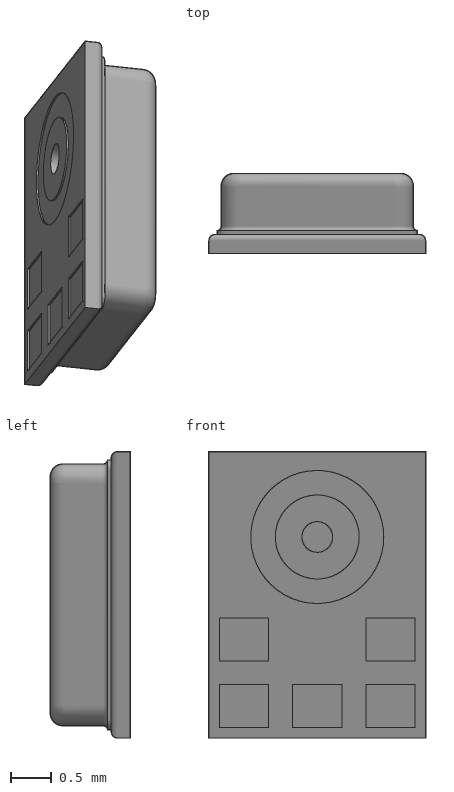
import cadquery as cq

plate_width = 2.65
plate_height = 3.5
plate_thickness = 0.235
plate_edge_radius = 0.08

total_depth = 0.98
flange_inset = 0.1
flange_thickness = 0.045
flange_corner_radius = 0.122
lid_inset = 0.15
lid_corner_radius = 0.235
lid_edge_radius = 0.158
lid_foot_radius = lid_inset - flange_inset
seam_margin = 0.005
foot_edge_clearance = 0.0005

port_z = 0.707
port_diameter = 0.375
port_depth = 0.2
ring_inner_diameter = 1.025
ring_outer_diameter = 1.625

pad_width = 0.6
pad_height = 0.525
pad_pitch_x = 0.895
pad_pitch_z = 0.812
pad_bottom_margin = 0.13
recess_depth = 0.02

bottom_row_z = -plate_height / 2 + pad_bottom_margin + pad_height / 2
top_row_z = bottom_row_z + pad_pitch_z
pad_centers = [
    (-pad_pitch_x, bottom_row_z),
    (0, bottom_row_z),
    (pad_pitch_x, bottom_row_z),
    (-pad_pitch_x, top_row_z),
    (pad_pitch_x, top_row_z),
]


def plane_at(y):
    """XZ workplane at the given Y; positive extrusion runs toward -Y."""
    return cq.Workplane("XZ", origin=(0, y, 0))


def centered_block(inset, y_start, y_end):
    """Block inset equally from all four plate sides."""
    width = plate_width - 2 * inset
    height = plate_height - 2 * inset
    return plane_at(y_end).rect(width, height).extrude(y_end - y_start)


def make_plate():
    plate = centered_block(0, 0, plate_thickness)
    return plate.faces(">Y").edges().fillet(plate_edge_radius)


def make_lid():
    flange_back = plate_thickness + flange_thickness
    flange = centered_block(flange_inset, plate_thickness, flange_back)
    flange = flange.edges("|Y").fillet(flange_corner_radius)

    lid = centered_block(lid_inset, flange_back, total_depth)
    lid = lid.edges("|Y").fillet(lid_corner_radius)
    lid = lid.faces(">Y").edges().fillet(lid_edge_radius)
    body = flange.union(lid)

    half_width = plate_width / 2 - lid_inset + seam_margin
    half_height = plate_height / 2 - lid_inset + seam_margin
    seam = cq.selectors.BoxSelector(
        (-half_width, flange_back - seam_margin, -half_height),
        (half_width, flange_back + seam_margin, half_height),
    )
    return body.edges(seam).fillet(lid_foot_radius - foot_edge_clearance)


def make_recesses():
    pads = plane_at(recess_depth).pushPoints(pad_centers)
    pads = pads.rect(pad_width, pad_height).extrude(recess_depth)
    ring = plane_at(recess_depth).center(0, port_z)
    ring = ring.circle(ring_outer_diameter / 2).circle(ring_inner_diameter / 2)
    return pads.union(ring.extrude(recess_depth))


def make_port():
    port = plane_at(port_depth).center(0, port_z)
    return port.circle(port_diameter / 2).extrude(port_depth)


body = make_plate().union(make_lid())
result = body.cut(make_recesses()).cut(make_port())